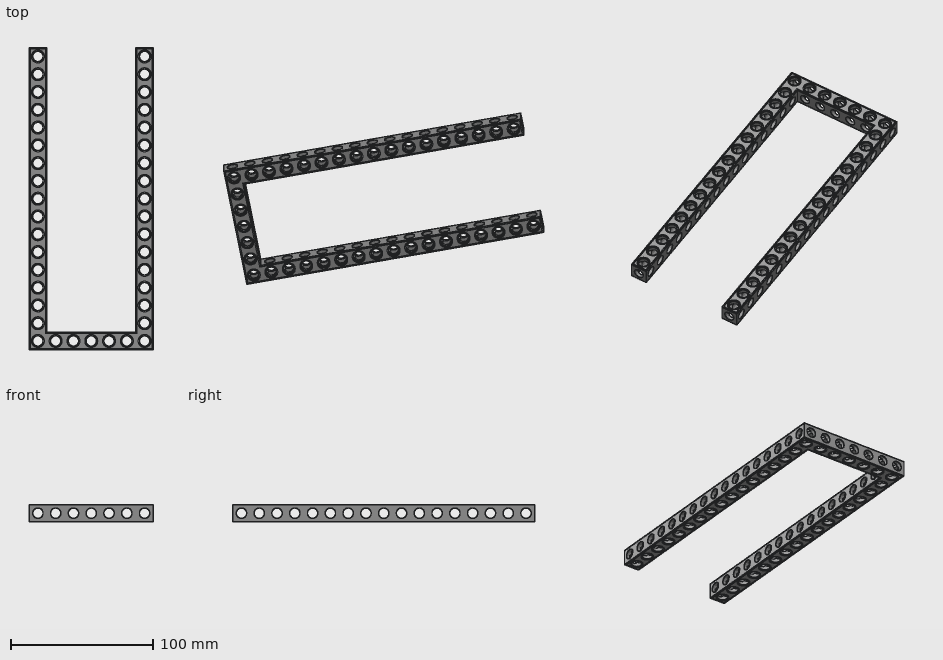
import cadquery as cq

length = 212.5
arm_holes = 17
base_holes = 7
pitch = length / arm_holes
width = base_holes * pitch

hole_diameter = 7.0
edge_bevel = 0.25

panel_height = 0.2
panel_inset = 1.0
rim_diameter = 9.1
core_height = pitch - 2 * panel_height


def hole_positions(count):
    """Positions of a row of holes centred on the origin."""
    return [(i - (count - 1) / 2) * pitch for i in range(count)]


base_positions = hole_positions(base_holes)
arm_positions = hole_positions(arm_holes)

arm_points = [(x, y) for x in (base_positions[0], base_positions[-1]) for y in arm_positions]
base_points = [(x, arm_positions[0]) for x in base_positions[1:-1]]
vertical_points = arm_points + base_points


def u_prism(inset, height):
    """U-shaped prism open towards +Y, its outline moved inwards by the inset."""
    outer_x = width / 2 - inset
    inner_x = width / 2 - pitch + inset
    front_y = -length / 2 + inset
    inner_y = -length / 2 + pitch - inset
    back_y = length / 2 - inset
    outline = [
        (-outer_x, front_y),
        (outer_x, front_y),
        (outer_x, back_y),
        (inner_x, back_y),
        (inner_x, inner_y),
        (-inner_x, inner_y),
        (-inner_x, back_y),
        (-outer_x, back_y),
    ]
    return cq.Workplane("XY").polyline(outline).close().extrude(height / 2, both=True)


def bevelled_core():
    """Main body, with its outer edges bevelled and its two inside corners sharp."""
    core = u_prism(0, core_height)
    inside_corners = cq.selectors.BoxSelector(
        (-width / 2 + pitch / 2, -length / 2 + pitch / 2, -pitch),
        (width / 2 - pitch / 2, -length / 2 + 3 * pitch / 2, pitch),
    )
    inside_edges = core.edges("|Z").edges(inside_corners).vals()
    outer_edges = [
        edge for edge in core.edges().vals() if not any(edge.isSame(inside) for inside in inside_edges)
    ]
    return core.newObject(outer_edges).chamfer(edge_bevel)


def panels():
    """Slab whose ends stand proud of the core as the upper and lower panels."""
    rims = cq.Workplane("XY").pushPoints(vertical_points).circle(rim_diameter / 2)
    return u_prism(panel_inset, pitch).cut(rims.extrude(pitch, both=True))


def bevelled_hole(member_depth):
    """Cutter along Z through one member, widening to a bevelled mouth at both ends."""
    radius = hole_diameter / 2
    half = member_depth / 2
    profile = [
        (0, -half),
        (radius + edge_bevel, -half),
        (radius, -half + edge_bevel),
        (radius, half - edge_bevel),
        (radius + edge_bevel, half),
        (0, half),
    ]
    return cq.Workplane("XZ").polyline(profile).close().revolve(360, (0, 0), (0, 1))


vertical_hole = bevelled_hole(core_height).val()
member_hole = bevelled_hole(pitch)
x_hole = member_hole.rotate((0, 0, 0), (0, 1, 0), 90).val()
y_hole = member_hole.rotate((0, 0, 0), (1, 0, 0), 90).val()
x_full_hole = bevelled_hole(width).rotate((0, 0, 0), (0, 1, 0), 90).val()
y_full_hole = bevelled_hole(length).rotate((0, 0, 0), (1, 0, 0), 90).val()

cutters = [vertical_hole.translate(cq.Vector(x, y, 0)) for x, y in vertical_points]

for y in arm_positions[1:]:
    cutters += [x_hole.translate(cq.Vector(x, y, 0)) for x in (base_positions[0], base_positions[-1])]
cutters.append(x_full_hole.translate(cq.Vector(0, arm_positions[0], 0)))

cutters += [y_hole.translate(cq.Vector(x, arm_positions[0], 0)) for x in base_positions[1:-1]]
cutters += [y_full_hole.translate(cq.Vector(x, 0, 0)) for x in (base_positions[0], base_positions[-1])]

body = bevelled_core().union(panels())
result = cq.Workplane(body.val().cut(*cutters))